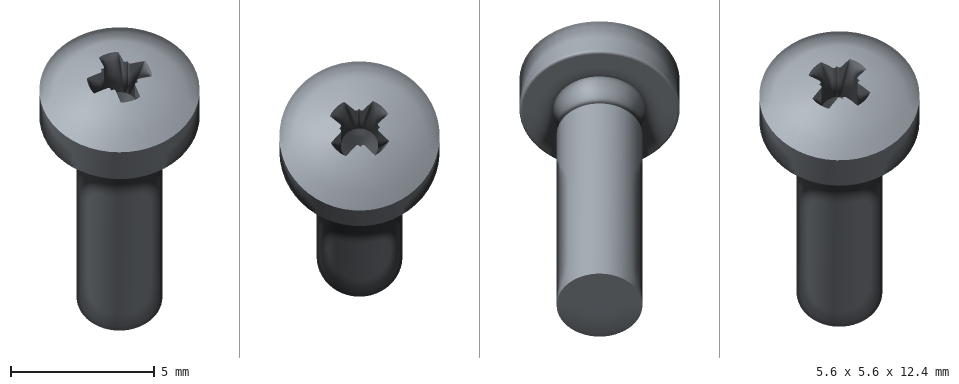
import cadquery as cq
import math

head_radius = 2.8
head_height = 2.4
head_rim_height = 1.57
head_edge_radius = 0.1

shank_radius = 1.5
length_under_head = 10.0
neck_radius = 1.25
neck_top_radius = 1.63
neck_flare_height = 0.86
neck_land_length = 0.14
neck_flare_bulge = 0.04

recess_wing_width = 0.73
recess_core_width = 1.01
recess_flare_reach = 0.55
recess_flare_inset = 0.095
recess_mouth_radius = 1.14
recess_floor_radius = 0.65
recess_wall_angle = 16.6
recess_floor_angle = 30.0


def dome_height(radius):
    """Height of the spherical head top at a distance from the axis."""
    rise = head_height - head_rim_height
    dome_radius = (head_radius**2 + rise**2) / (2 * rise)
    return head_height - dome_radius + math.sqrt(dome_radius**2 - radius**2)


def make_body():
    """Revolve the half section of the head, neck and shank."""
    land_top = -neck_flare_height
    land_bottom = land_top - neck_land_length
    shank_top = land_bottom - (shank_radius - neck_radius)
    flare_mid = (
        (neck_radius + neck_top_radius) / 2 - neck_flare_bulge,
        land_top / 2,
    )
    edge_mid = head_edge_radius * (1 - math.sqrt(0.5))
    dome_mid = head_radius / 2
    section = (
        cq.Workplane("XZ")
        .moveTo(0, -length_under_head)
        .lineTo(shank_radius, -length_under_head)
        .lineTo(shank_radius, shank_top)
        .lineTo(neck_radius, land_bottom)
        .lineTo(neck_radius, land_top)
        .threePointArc(flare_mid, (neck_top_radius, 0))
        .lineTo(head_radius - head_edge_radius, 0)
        .threePointArc((head_radius - edge_mid, edge_mid), (head_radius, head_edge_radius))
        .lineTo(head_radius, head_rim_height)
        .threePointArc((dome_mid, dome_height(dome_mid)), (0, head_height))
        .close()
    )
    return section.revolve(360, (0, 0, 0), (0, 1, 0))


def recess_core_outline():
    """Points of the square core, whose sides flare outward where they meet the wings."""
    half_wing = recess_wing_width / 2
    half_core = recess_core_width / 2
    flare_start = half_core - recess_flare_inset
    corner = [
        (recess_flare_reach, half_wing),
        (half_core, flare_start),
        (half_core, half_core),
        (flare_start, half_core),
        (half_wing, recess_flare_reach),
    ]
    points = []
    for _ in range(4):
        points += corner
        corner = [(-y, x) for x, y in corner]
    return points


def make_recess():
    """Cross recess: a tapered round cavity limited to two crossed wings and a flared core."""
    wall_slope = math.tan(math.radians(recess_wall_angle))
    mouth_height = dome_height(recess_mouth_radius)
    floor_edge = mouth_height - (recess_mouth_radius - recess_floor_radius) / wall_slope
    floor_tip = floor_edge - recess_floor_radius * math.tan(math.radians(recess_floor_angle))
    top_radius = recess_mouth_radius + (head_height - mouth_height) * wall_slope
    cavity = (
        cq.Workplane("XZ")
        .moveTo(0, floor_tip)
        .lineTo(recess_floor_radius, floor_edge)
        .lineTo(top_radius, head_height)
        .lineTo(0, head_height)
        .close()
        .revolve(360, (0, 0, 0), (0, 1, 0))
    )
    depth = head_height - floor_tip
    base = cq.Workplane("XY", origin=(0, 0, floor_tip))
    wing_length = 2 * top_radius
    cross = (
        base.rect(wing_length, recess_wing_width).extrude(depth)
        .union(base.rect(recess_wing_width, wing_length).extrude(depth))
        .union(base.polyline(recess_core_outline()).close().extrude(depth))
    )
    return cavity.intersect(cross)


result = make_body().cut(make_recess())